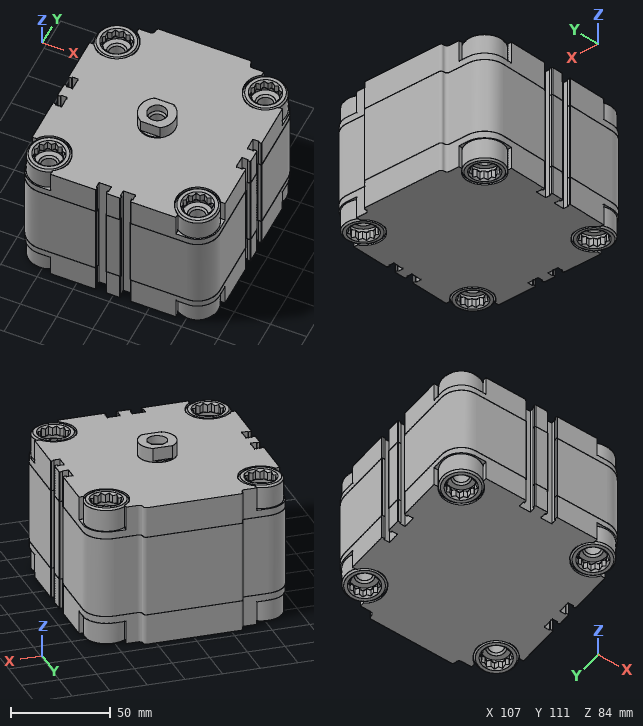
import cadquery as cq
import math

width = 107.0
half_width = width / 2
corner_radius = 12.5
housing_height = 76.3
cap_height = 16.5
cap_inset = 0.1
tube_height = housing_height - 2 * cap_height

pad_half_width = 26.5
pad_height = 4.0
pad_edge_radius = 1.5
pad_root_radius = 2.0
pick_margin = 0.05

slot_offset = 6.7
slot_mouth_width = 5.2
slot_inner_width = 6.8
slot_depth = 5.2
slot_lip = 1.9
slot_mouth_chamfer = 0.4
slot_face_angles = (0, 90, -90)

screw_offset = 41.1
pocket_edge = 34.7
pocket_depth = 12.6
seat_diameter = 23.4
collar_diameter = 23.0
collar_chamfer = 1.0
socket_diameter = 16.2
socket_depth = 5.5
socket_rim_diameter = 17.2
relief_diameter = 16.5
relief_depth = 7.5
screw_bore_diameter = 8.38
screw_countersink_diameter = 10.5

rod_diameter = 20.0
rod_projection = 7.7
rod_embedded = cap_height
rod_length = rod_projection + rod_embedded
rod_flat_width = 17.0
rod_flat_height = 7.0
rod_recess_diameter = 10.5
rod_recess_depth = 4.6
rod_drill_diameter = screw_bore_diameter
rod_drill_depth = 15.0
drill_tip_angle = 118.0


def profile_block(height, base_z, inset):
    """Length of the slotted, padded profile; outer faces and slot mouths are set in by the inset."""
    half_base = half_width - inset
    pad_face = half_width + pad_height - inset
    body = cq.Workplane("XY").rect(2 * half_base, 2 * half_base).extrude(height)
    body = body.edges("|Z").fillet(corner_radius - inset)
    pad = (
        cq.Workplane("XY")
        .moveTo(0, pad_face / 2)
        .rect(2 * (pad_half_width - inset), pad_face)
        .extrude(height)
    )
    body = body.union(pad)

    for y, radius in ((pad_face, pad_edge_radius), (half_base, pad_root_radius)):
        edges = cq.selectors.BoxSelector(
            (-pad_half_width - pick_margin, y - pick_margin, -pick_margin),
            (pad_half_width + pick_margin, y + pick_margin, height + pick_margin),
        )
        body = body.edges("|Z").edges(edges).fillet(radius)

    for angle in slot_face_angles:
        for offset in (-slot_offset, slot_offset):
            slot = t_slot(offset, height, inset)
            body = body.cut(slot.rotate((0, 0, 0), (0, 0, 1), angle))
    return body.translate((0, 0, base_z))


def t_slot(offset, height, inset):
    """Cutter for one T-slot in the -Y face, centred at x = offset."""
    half_mouth = slot_mouth_width / 2 + inset
    half_inner = slot_inner_width / 2
    half_flare = half_mouth + slot_mouth_chamfer
    face = -half_width + inset
    chamfer_end = face + slot_mouth_chamfer
    lip = -half_width + slot_lip
    floor = -half_width + slot_depth
    return (
        cq.Workplane("XY")
        .moveTo(offset - half_flare, face)
        .lineTo(offset - half_mouth, chamfer_end)
        .lineTo(offset - half_mouth, lip)
        .lineTo(offset - half_inner, lip)
        .lineTo(offset - half_inner, floor)
        .lineTo(offset + half_inner, floor)
        .lineTo(offset + half_inner, lip)
        .lineTo(offset + half_mouth, lip)
        .lineTo(offset + half_mouth, chamfer_end)
        .lineTo(offset + half_flare, face)
        .close()
        .extrude(height)
    )


def cone(bottom_diameter, top_diameter, height, base_z):
    """Truncated cone along Z, standing on base_z."""
    solid = cq.Solid.makeCone(bottom_diameter / 2, top_diameter / 2, height)
    return cq.Workplane(solid.translate(cq.Vector(0, 0, base_z)))


def cylinder(diameter, height, base_z):
    """Cylinder along Z, standing on base_z."""
    return cq.Workplane("XY").workplane(offset=base_z).circle(diameter / 2).extrude(height)


def corner_pocket():
    """Cutter for the pocket at the +X+Y corner of the top cap."""
    pocket_floor = housing_height - pocket_depth
    corner = (
        cq.Workplane("XY")
        .workplane(offset=pocket_floor)
        .moveTo(pocket_edge, pocket_edge)
        .rect(half_width, half_width, centered=False)
        .extrude(pocket_depth)
    )
    seat = cylinder(seat_diameter, pocket_depth, pocket_floor)
    return corner.union(seat.translate((screw_offset, screw_offset, 0)))


def screw_collar():
    """Chamfered collar with a twelve-point socket, on the Z axis at the top of the housing."""
    top = housing_height
    collar = cylinder(collar_diameter, pocket_depth, top - pocket_depth)
    collar = collar.faces(">Z").chamfer(collar_chamfer)

    hexagon = cq.Workplane("XY").workplane(offset=top - socket_depth).polygon(6, socket_diameter)
    hexagon = hexagon.extrude(socket_depth)
    socket = hexagon.union(hexagon.rotate((0, 0, 0), (0, 0, 1), 30))

    rim_depth = (socket_rim_diameter - socket_diameter * math.cos(math.pi / 6)) / 2
    rim = cone(socket_rim_diameter - 2 * rim_depth, socket_rim_diameter, rim_depth, top - rim_depth)
    relief = cylinder(relief_diameter, relief_depth - socket_depth, top - relief_depth)
    return collar.cut(socket).cut(rim).cut(relief)


def screw_bore():
    """Cutter for the countersunk through bore below the socket of a collar."""
    countersink_depth = (screw_countersink_diameter - screw_bore_diameter) / 2
    countersink = cone(
        screw_bore_diameter,
        screw_countersink_diameter,
        countersink_depth,
        housing_height - relief_depth - countersink_depth,
    )
    return cylinder(screw_bore_diameter, housing_height, 0).union(countersink)


def bottom_copy(feature):
    """The same feature mirrored to the bottom end of the housing."""
    return feature.mirror("XY", (0, 0, housing_height / 2))


def make_housing():
    """Tube, end caps and screw collars, with the rod socket in the top."""
    body = profile_block(tube_height, cap_height, 0)
    for base_z in (0, housing_height - cap_height):
        body = body.union(profile_block(cap_height, base_z, cap_inset))

    pocket = corner_pocket()
    collar = screw_collar()
    bore = screw_bore()
    screw_place = (screw_offset, screw_offset, 0)
    for turn in (0, 90, 180, 270):
        pocket_here = pocket.rotate((0, 0, 0), (0, 0, 1), turn)
        collar_here = collar.translate(screw_place).rotate((0, 0, 0), (0, 0, 1), turn)
        bore_here = bore.translate(screw_place).rotate((0, 0, 0), (0, 0, 1), turn)
        body = body.cut(pocket_here).cut(bottom_copy(pocket_here))
        body = body.union(collar_here).union(bottom_copy(collar_here))
        body = body.cut(bore_here).cut(bottom_copy(bore_here))

    return body.cut(cylinder(rod_diameter, rod_embedded, housing_height - rod_embedded))


def make_rod():
    """Rod end with two wrench flats and a recessed blind hole."""
    top = housing_height + rod_projection
    rod = cylinder(rod_diameter, rod_length, top - rod_length)

    flats = (
        cq.Workplane("XY")
        .workplane(offset=top - rod_flat_height)
        .rect(2 * rod_diameter, 2 * rod_diameter)
        .rect(2 * rod_diameter, rod_flat_width)
        .extrude(rod_flat_height)
    )
    recess = cylinder(rod_recess_diameter, rod_recess_depth, top - rod_recess_depth)
    cone_depth = (rod_recess_diameter - rod_drill_diameter) / 2
    recess_cone = cone(
        rod_drill_diameter, rod_recess_diameter, cone_depth, top - rod_recess_depth - cone_depth
    )
    drill = cylinder(rod_drill_diameter, rod_drill_depth, top - rod_drill_depth)
    tip_depth = rod_drill_diameter / 2 / math.tan(math.radians(drill_tip_angle / 2))
    tip = cone(0, rod_drill_diameter, tip_depth, top - rod_drill_depth - tip_depth)
    return rod.cut(flats).cut(recess).cut(recess_cone).cut(drill).cut(tip)


housing = make_housing()
rod = make_rod()

result = cq.Compound.makeCompound([housing.val(), rod.val()])